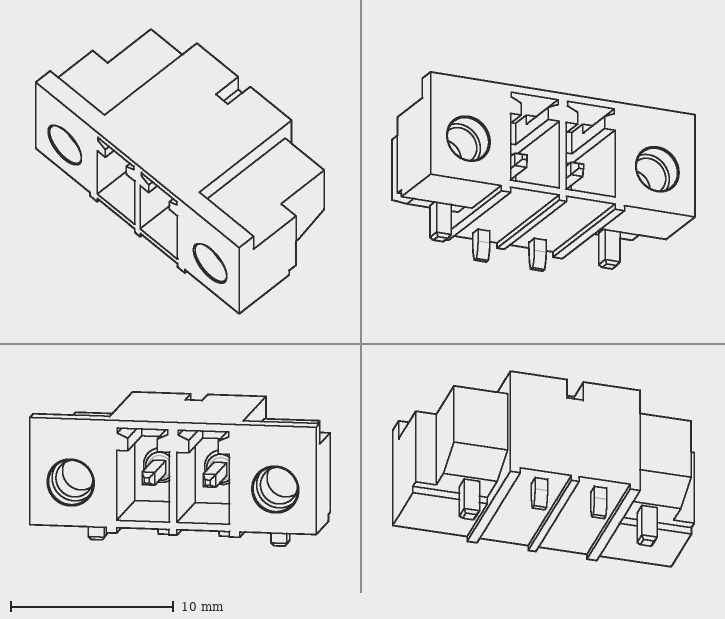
import cadquery as cq
import math


width = 17.91
depth = 9.2
height = 6.73
core_width = 8.35
flange_thickness = 1.25
shoulder_z = 5.45
ear_front_depth = 4.9
ear_rear_depth = 8.63
ear_rear_width = 15.26
ear_bottom_z = 0.45
relief_start_y = 4.32
slope_start_y = 6.41
slope_end_z = 1.47
key_notch_width = 1.05
key_notch_length = 1.93

rib_drop = 0.34
outer_rib_width = 0.65
middle_rib_width = 0.5

pitch = 3.81
axis_z = 2.74
cavity_outer_x = 3.53
cavity_wall = 0.47
cavity_depth = 6.45
cavity_bottom_z = 0.47
cavity_top_z = 4.85
keyway_neck_width = 1.83
keyway_neck_depth = 4.84
keyway_wing_width = 3.15
keyway_wing_depth = 3.22
keyway_top_z = 6.25
keyway_wing_outer_z = 5.95
keyway_wing_inner_z = 5.65

collar_base_diameter = 2.17
collar_top_diameter = 1.77
collar_face_diameter = 1.43
collar_cone_height = 0.35
collar_round_radius = (collar_top_diameter - collar_face_diameter) / 2

screw_spacing = 12.79
screw_diameter = 2.8
screw_chamfer = 0.07
screw_step_depth = 1.29
screw_bore_diameter = 2.31
screw_bore_depth = 3.58

contact_size = 0.8
contact_tip_size = 0.32
contact_tip_y = 1.47
contact_taper_length = 0.63
tail_y = 7.9
tail_bottom_z = -1.85
tail_taper_top_z = -0.77
tail_tip_width = 0.32

peg_spacing = 11.43
peg_y = 5.6
peg_size = 1.0
peg_bottom_z = tail_bottom_z
peg_chamfer_height = 0.21
peg_chamfer_inset = 0.16


def block(x_size, y_start, y_end, z_start, z_end, x_center=0.0):
    """Axis-aligned block given by its X width and its Y and Z ranges."""
    return (
        cq.Workplane("XY")
        .box(x_size, y_end - y_start, z_end - z_start, centered=(True, False, False))
        .translate((x_center, y_start, z_start))
    )


def ears():
    """Side ears: stepped in plan, with a relieved and sloped underside."""
    profile = (
        cq.Workplane("YZ")
        .moveTo(0, 0)
        .lineTo(relief_start_y, 0)
        .lineTo(relief_start_y, ear_bottom_z)
        .lineTo(slope_start_y, ear_bottom_z)
        .lineTo(ear_rear_depth, slope_end_z)
        .lineTo(ear_rear_depth, shoulder_z)
        .lineTo(0, shoulder_z)
        .close()
        .extrude(width / 2, both=True)
    )
    front_plan = block(width, 0, ear_front_depth, 0, shoulder_z)
    rear_plan = block(ear_rear_width, 0, ear_rear_depth, 0, shoulder_z)
    return profile.intersect(front_plan.union(rear_plan))


def standoff_ribs():
    """Three ribs along the full length of the underside."""
    outer_x = (core_width - outer_rib_width) / 2
    ribs = block(middle_rib_width, 0, depth, -rib_drop, 0)
    for side in (-1, 1):
        ribs = ribs.union(block(outer_rib_width, 0, depth, -rib_drop, 0, side * outer_x))
    return ribs


def socket_cavity(side):
    """Rectangular mating cavity with a T-shaped keyway above it, shallower than the cavity."""
    cavity_width = cavity_outer_x - cavity_wall / 2
    cavity_x = side * (cavity_outer_x + cavity_wall / 2) / 2
    cavity = block(cavity_width, 0, cavity_depth, cavity_bottom_z, cavity_top_z, cavity_x)
    keyway_x = side * pitch / 2
    neck = block(keyway_neck_width, 0, keyway_neck_depth, cavity_top_z, keyway_top_z, keyway_x)
    neck_half = keyway_neck_width / 2
    wing_half = keyway_wing_width / 2
    wings = (
        cq.Workplane("XZ")
        .moveTo(-neck_half, keyway_wing_inner_z)
        .lineTo(neck_half, keyway_wing_inner_z)
        .lineTo(wing_half, keyway_wing_outer_z)
        .lineTo(wing_half, keyway_top_z)
        .lineTo(-wing_half, keyway_top_z)
        .lineTo(-wing_half, keyway_wing_outer_z)
        .close()
        .extrude(-keyway_wing_depth)
        .translate((keyway_x, 0, 0))
    )
    return cavity.union(neck).union(wings)


def contact_collar(side):
    """Conical collar with a rounded rim, standing on the cavity floor."""
    face_radius = collar_face_diameter / 2
    rim_radius = collar_top_diameter / 2
    cone_top_y = cavity_depth - collar_cone_height
    face_y = cone_top_y - collar_round_radius
    arc_offset = collar_round_radius * math.sqrt(0.5)
    collar = (
        cq.Workplane("XY")
        .moveTo(0, cavity_depth)
        .lineTo(collar_base_diameter / 2, cavity_depth)
        .lineTo(rim_radius, cone_top_y)
        .threePointArc((face_radius + arc_offset, cone_top_y - arc_offset), (face_radius, face_y))
        .lineTo(0, face_y)
        .close()
        .revolve(360, (0, 0, 0), (0, 1, 0))
    )
    return collar.translate((side * pitch / 2, 0, axis_z))


def screw_hole(side):
    """Blind stepped hole with a chamfered mouth."""
    radius = screw_diameter / 2
    bore_radius = screw_bore_diameter / 2
    hole = (
        cq.Workplane("XY")
        .polyline([
            (0, 0),
            (radius + screw_chamfer, 0),
            (radius, screw_chamfer),
            (radius, screw_step_depth),
            (bore_radius, screw_step_depth),
            (bore_radius, screw_bore_depth),
            (0, screw_bore_depth),
        ])
        .close()
        .revolve(360, (0, 0, 0), (0, 1, 0))
    )
    return hole.translate((side * screw_spacing / 2, 0, axis_z))


def tail_side_midpoint(side):
    """Middle point of the arc on one side of the tail taper, relative to the tail centre."""
    inset = (contact_size - tail_tip_width) / 2
    drop = tail_taper_top_z - tail_bottom_z
    radius = (inset ** 2 + drop ** 2) / (2 * inset)
    half_angle = math.asin(drop / radius) / 2
    across = contact_size / 2 - radius * (1 - math.cos(half_angle))
    return (side * across, tail_taper_top_z - radius * math.sin(half_angle))


def make_contact(side):
    """Right-angle contact: pointed square pin with a rounded, narrowing tail."""
    half = contact_size / 2
    pin_start_y = contact_tip_y + contact_taper_length
    tail_back_y = tail_y + half
    pin = block(contact_size, pin_start_y, tail_back_y, axis_z - half, axis_z + half)
    tip = (
        cq.Workplane("XZ", origin=(0, pin_start_y, axis_z))
        .rect(contact_size, contact_size)
        .workplane(offset=contact_taper_length)
        .rect(contact_tip_size, contact_tip_size)
        .loft()
    )
    tip_half = tail_tip_width / 2
    tail = (
        cq.Workplane("YZ", origin=(0, tail_y, 0))
        .moveTo(-half, axis_z)
        .lineTo(half, axis_z)
        .lineTo(half, tail_taper_top_z)
        .threePointArc(tail_side_midpoint(1), (tip_half, tail_bottom_z))
        .lineTo(-tip_half, tail_bottom_z)
        .threePointArc(tail_side_midpoint(-1), (-half, tail_taper_top_z))
        .close()
        .extrude(half, both=True)
    )
    return pin.union(tip).union(tail).translate((side * pitch / 2, 0, 0))


def make_peg(side):
    """Square mounting peg with a chamfered end, seated on the underside of an ear."""
    taper_top_z = peg_bottom_z + peg_chamfer_height
    end_size = peg_size - 2 * peg_chamfer_inset
    shank = block(peg_size, -peg_size / 2, peg_size / 2, taper_top_z, ear_bottom_z)
    end = (
        cq.Workplane("XY", origin=(0, 0, taper_top_z))
        .rect(peg_size, peg_size)
        .workplane(offset=-peg_chamfer_height)
        .rect(end_size, end_size)
        .loft()
    )
    return shank.union(end).translate((side * peg_spacing / 2, peg_y, 0))


def make_housing(contacts):
    """Housing with sockets, screw holes and matching passages for the contacts."""
    body = block(core_width, 0, depth, 0, height)
    body = body.union(block(width, 0, flange_thickness, 0, height))
    body = body.union(ears()).union(standoff_ribs())
    body = body.cut(block(key_notch_width, depth - key_notch_length, depth, shoulder_z, height))
    for side in (-1, 1):
        body = body.cut(socket_cavity(side)).union(contact_collar(side)).cut(screw_hole(side))
    for contact in contacts:
        body = body.cut(contact)
    return body


contacts = [make_contact(side) for side in (-1, 1)]
pegs = [make_peg(side) for side in (-1, 1)]
housing = make_housing(contacts)

result = cq.Compound.makeCompound([
    housing.val(),
    *[contact.val() for contact in contacts],
    *[peg.val() for peg in pegs],
])